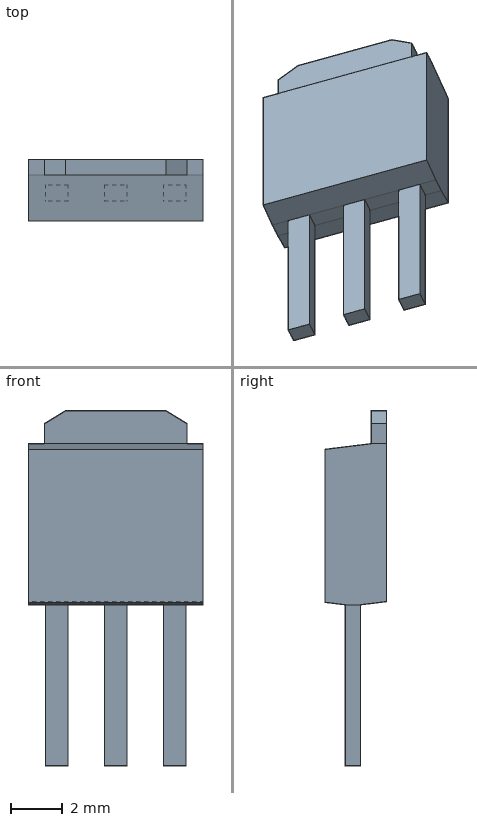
import cadquery as cq
import math

total_height = 13.69
housing_width = 6.74
housing_depth = 2.38
back_y = housing_depth / 2
front_y = -housing_depth / 2

lead_count = 3
lead_pitch = 2.27
lead_width = 0.88
lead_thickness = 0.6
lead_length = 6.2
lead_back_offset = 1.0

tab_width = 5.5
tab_tip_width = 3.86
tab_thickness = 0.6
tab_height = 1.27
tab_corner_height = 0.5

draft_angle = 7.0
housing_bottom = lead_length
housing_top = total_height - tab_height
tab_front_y = back_y - tab_thickness
lead_back_y = back_y - lead_back_offset
lead_front_y = lead_back_y - lead_thickness


def draft_drop(run):
    """Height change of a drafted end face over a horizontal run."""
    return run * math.tan(math.radians(draft_angle))


def make_housing():
    """Molded block with a flat ledge under the tab and drafted end faces."""
    profile = [
        (back_y, housing_top),
        (tab_front_y, housing_top),
        (front_y, housing_top - draft_drop(tab_front_y - front_y)),
        (front_y, housing_bottom + draft_drop(lead_front_y - front_y)),
        (lead_front_y, housing_bottom),
        (lead_back_y, housing_bottom),
        (back_y, housing_bottom + draft_drop(lead_back_offset)),
    ]
    return cq.Workplane("YZ").polyline(profile).close().extrude(housing_width / 2, both=True)


def make_tab():
    """Plate standing on the ledge, flush with the housing back, with cut corners."""
    shoulder_z = total_height - tab_corner_height
    outline = [
        (-tab_width / 2, housing_top),
        (-tab_width / 2, shoulder_z),
        (-tab_tip_width / 2, total_height),
        (tab_tip_width / 2, total_height),
        (tab_width / 2, shoulder_z),
        (tab_width / 2, housing_top),
    ]
    plane = cq.Workplane("XZ", origin=(0, back_y, 0))
    return plane.polyline(outline).close().extrude(tab_thickness)


def make_lead(center_x):
    """Straight lead reaching from the ground up to the housing bottom."""
    center_y = (lead_back_y + lead_front_y) / 2
    lead = cq.Workplane("XY").box(lead_width, lead_thickness, lead_length, centered=(True, True, False))
    return lead.translate((center_x, center_y, 0))


housing = make_housing()
tab = make_tab()
leads = []
for index in range(lead_count):
    lead_x = (index - (lead_count - 1) / 2) * lead_pitch
    leads.append(make_lead(lead_x).val())

result = cq.Compound.makeCompound([housing.val(), tab.val(), *leads])